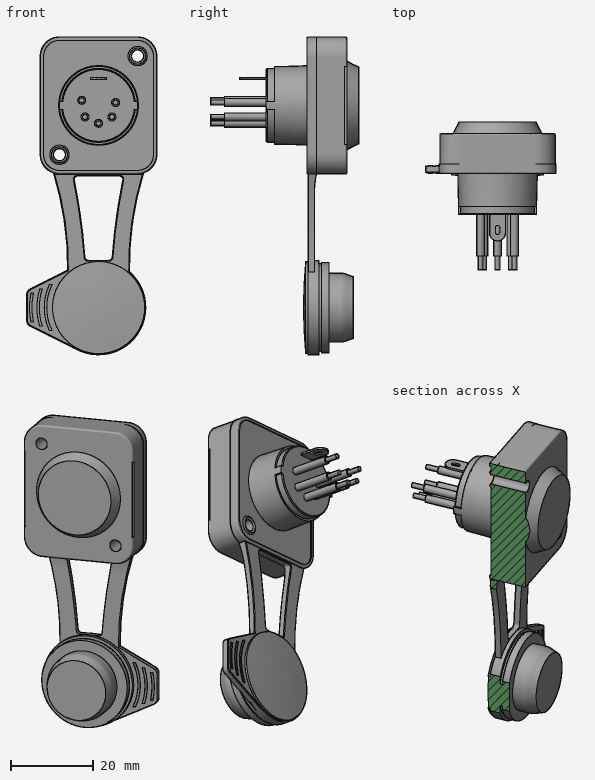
import cadquery as cq
import math


OVERALL_WIDTH = 31.7
OVERALL_DEPTH = 36.0
OVERALL_HEIGHT = 77.3

FLANGE_HEIGHT = 33.3
FLANGE_WIDTH = 28.1
LIP_WIDTH = 28.4
FLANGE_DEPTH = 9.75
LIP_DEPTH = 2.35
CORNER_RADIUS = 4.7
FRONT_EDGE_RADIUS = 0.45
RIM_FILLET = 0.35
PANEL_INSET = 0.85
PANEL_DEPTH = 0.3
SIDE_NOTCH_LENGTH = 18.9
SIDE_NOTCH_DEPTH = 0.3
SIDE_NOTCH_WIDTH = 0.6

HOLE_OFFSET_X = 9.5
HOLE_OFFSET_Z = 12.0
HOLE_RADIUS = 1.45
COLLAR_BASE_RADIUS = 2.35
COLLAR_CREST_RADIUS = 1.95

BEZEL_BASE_RADIUS = 10.8
BEZEL_FRONT_RADIUS = 9.35
BEZEL_FRONT_Y = 12.6
BARREL_ROOT_RADIUS = 9.7
BARREL_END_RADIUS = 9.5
BARREL_SHOULDER_Y = -7.95
BARREL_END_Y = -9.9
BARREL_NECK_RADIUS = 9.0
BARREL_END_CHAMFER = 0.25
KEY_WIDTH = 1.9

WIRE_POSITIONS = [(-4.1, 1.25), (4.15, 0.7), (-3.3, -2.8), (3.25, -2.8), (0.0, -4.35)]
WIRE_JACKET_RADIUS = 0.97
WIRE_CORE_RADIUS = 0.62
WIRE_JACKET_END_Y = -20.05
WIRE_CORE_END_Y = BEZEL_FRONT_Y - OVERALL_DEPTH
TAB_WIDTH = 3.9
TAB_THICKNESS = 0.5
TAB_CENTER_Z = 6.53
TAB_END_Y = -16.35
TAB_SLOT_WIDTH = 1.1
TAB_SLOT_LENGTH = 2.2
TAB_SLOT_CENTER_Y = -13.7

CAP_RADIUS = 11.5
CAP_CENTER_Z = FLANGE_HEIGHT / 2 - OVERALL_HEIGHT + CAP_RADIUS
CAP_DISC_FRONT_Y = 2.9
CAP_DISC_REAR_Y = 0.2
CAP_STEP_RADIUS = 11.2
CAP_STEP_Y = -0.35
CAP_DOME_RADIUS = 10.8
CAP_DOME_Y = -0.85
CAP_GROOVE_RADIUS = 10.7
CAP_BEAD_RADIUS = 11.0
CAP_BEAD_REAR_Y = 3.5
CAP_BEAD_FRONT_Y = 5.4
PLUG_RADIUS = 8.4
PLUG_BEND_Y = 8.6
PLUG_TAPER_Y = 9.3
PLUG_TAPER_RADIUS = 8.25
PLUG_FRONT_Y = 11.3
PLUG_FRONT_RADIUS = 7.55

STRAP_REAR_Y = 0.2
STRAP_FRONT_Y = 1.85
STRAP_EDGE_CHAMFER = 0.2
STRAP_TAPER_END_Z = -21.0
STRAP_TOP_Z = -FLANGE_HEIGHT / 2
STRAP_TOP_HALF_WIDTH = 10.9
STRAP_MID_HALF_WIDTH = 8.7
STRAP_MID_Z = -25.8
STRAP_BOTTOM_HALF_WIDTH = 7.55
STRAP_BOTTOM_Z = -41.0
WINDOW_TOP_Z = -17.2
WINDOW_TOP_HALF_WIDTH = 6.1
WINDOW_MID_HALF_WIDTH = 4.4
WINDOW_MID_Z = -26.8
WINDOW_BOTTOM_HALF_WIDTH = 3.25
WINDOW_CORNER_RADIUS = 0.8
GRIP_END_X = LIP_WIDTH / 2 - OVERALL_WIDTH
GRIP_SIDE_ANGLE = math.radians(26.6)
GRIP_CORNER_RADIUS = 1.6
RIDGE_RADII_AND_HALF_LENGTHS = [(12.9, 5.6), (14.7, 4.5), (16.5, 3.5)]
RIDGE_WIDTH = 0.6
RIDGE_HEIGHT = 0.15


def xz_plane(y, z=0.0):
    """Plane at the given Y with local x = X and local y = Z; it extrudes toward -Y."""
    return cq.Workplane("XZ", origin=(0, y, z))


def revolve_about_y(profile, center_x=0.0, center_z=0.0):
    """Revolve (radius, y) points about a line parallel to Y."""
    solid = cq.Workplane("XY").polyline(profile).close().revolve(360, (0, 0, 0), (0, 1, 0))
    return solid.translate((center_x, 0, center_z))


def rounded_block(width, height, front_y, rear_y, corner_radius):
    block = xz_plane(front_y).rect(width, height).extrude(front_y - rear_y)
    return block.edges("|Y").fillet(corner_radius)


def make_flange():
    body = rounded_block(FLANGE_WIDTH, FLANGE_HEIGHT, FLANGE_DEPTH, LIP_DEPTH / 2, CORNER_RADIUS)
    body = body.faces(">Y").edges().fillet(FRONT_EDGE_RADIUS)
    lip = rounded_block(LIP_WIDTH, FLANGE_HEIGHT, LIP_DEPTH, 0, CORNER_RADIUS)
    lip = lip.faces("<Y").edges().fillet(RIM_FILLET)
    panel_recess = rounded_block(
        LIP_WIDTH - 2 * PANEL_INSET,
        FLANGE_HEIGHT - 2 * PANEL_INSET,
        PANEL_DEPTH,
        0,
        CORNER_RADIUS - PANEL_INSET,
    )
    flange = body.union(lip).cut(panel_recess)
    for side in (-1, 1):
        notch = cq.Workplane("XY").box(2 * SIDE_NOTCH_DEPTH, 2 * SIDE_NOTCH_WIDTH, SIDE_NOTCH_LENGTH)
        flange = flange.cut(notch.translate((side * FLANGE_WIDTH / 2, FLANGE_DEPTH, 0)))
    return flange


def add_mounting_holes(body):
    collar_profile = [
        (0, LIP_DEPTH),
        (COLLAR_BASE_RADIUS, LIP_DEPTH),
        (COLLAR_BASE_RADIUS, PANEL_DEPTH),
        (COLLAR_CREST_RADIUS, 0),
        (HOLE_RADIUS, PANEL_DEPTH),
        (0, PANEL_DEPTH),
    ]
    for side in (-1, 1):
        x = side * HOLE_OFFSET_X
        z = side * HOLE_OFFSET_Z
        hole = xz_plane(FLANGE_DEPTH).center(x, z).circle(HOLE_RADIUS).extrude(FLANGE_DEPTH)
        body = body.union(revolve_about_y(collar_profile, x, z)).cut(hole)
    return body


def make_bezel_and_barrel():
    profile = [
        (0, BEZEL_FRONT_Y),
        (BEZEL_FRONT_RADIUS, BEZEL_FRONT_Y),
        (BEZEL_BASE_RADIUS, FLANGE_DEPTH),
        (BARREL_ROOT_RADIUS, FLANGE_DEPTH),
        (BARREL_ROOT_RADIUS, 0),
        (BARREL_END_RADIUS, BARREL_SHOULDER_Y),
        (BARREL_NECK_RADIUS, BARREL_SHOULDER_Y),
        (BARREL_NECK_RADIUS, BARREL_END_Y + BARREL_END_CHAMFER),
        (BARREL_NECK_RADIUS - BARREL_END_CHAMFER, BARREL_END_Y),
        (0, BARREL_END_Y),
    ]
    neck_length = BARREL_SHOULDER_Y - BARREL_END_Y
    keys = xz_plane(BARREL_SHOULDER_Y).circle(BARREL_END_RADIUS).extrude(neck_length)
    key_band = xz_plane(BARREL_SHOULDER_Y).rect(2 * BARREL_ROOT_RADIUS, KEY_WIDTH).extrude(neck_length)
    return revolve_about_y(profile).union(keys.intersect(key_band))


def make_wires():
    jackets = xz_plane(BARREL_END_Y).pushPoints(WIRE_POSITIONS).circle(WIRE_JACKET_RADIUS)
    jackets = jackets.extrude(BARREL_END_Y - WIRE_JACKET_END_Y)
    cores = xz_plane(WIRE_JACKET_END_Y).pushPoints(WIRE_POSITIONS).circle(WIRE_CORE_RADIUS)
    cores = cores.extrude(WIRE_JACKET_END_Y - WIRE_CORE_END_Y)
    return jackets.union(cores)


def make_solder_tab():
    half_width = TAB_WIDTH / 2
    tab = (
        cq.Workplane("XY")
        .moveTo(-half_width, BARREL_END_Y)
        .lineTo(-half_width, TAB_END_Y + half_width)
        .threePointArc((0, TAB_END_Y), (half_width, TAB_END_Y + half_width))
        .lineTo(half_width, BARREL_END_Y)
        .close()
        .extrude(TAB_THICKNESS)
    )
    slot = (
        cq.Workplane("XY")
        .center(0, TAB_SLOT_CENTER_Y)
        .slot2D(TAB_SLOT_LENGTH, TAB_SLOT_WIDTH, 90)
        .extrude(TAB_THICKNESS)
    )
    return tab.cut(slot).translate((0, 0, TAB_CENTER_Z - TAB_THICKNESS / 2))


def tapering_outline(top_half, top_z, mid_half, mid_z, bottom_half, bottom_z):
    """Closed outline, symmetric in X, whose two sides are arcs through top, middle and bottom."""
    return (
        xz_plane(LIP_DEPTH)
        .moveTo(-top_half, top_z)
        .threePointArc((-mid_half, mid_z), (-bottom_half, bottom_z))
        .lineTo(bottom_half, bottom_z)
        .threePointArc((mid_half, mid_z), (top_half, top_z))
        .close()
        .extrude(LIP_DEPTH - STRAP_REAR_Y)
    )


def make_strap():
    outline = tapering_outline(
        STRAP_TOP_HALF_WIDTH, STRAP_TOP_Z, STRAP_MID_HALF_WIDTH, STRAP_MID_Z,
        STRAP_BOTTOM_HALF_WIDTH, STRAP_BOTTOM_Z,
    )
    window = tapering_outline(
        WINDOW_TOP_HALF_WIDTH, WINDOW_TOP_Z, WINDOW_MID_HALF_WIDTH, WINDOW_MID_Z,
        WINDOW_BOTTOM_HALF_WIDTH, CAP_CENTER_Z + CAP_RADIUS,
    )
    window = window.edges("|Y").fillet(WINDOW_CORNER_RADIUS)
    thickness = (
        cq.Workplane("YZ", origin=(-STRAP_TOP_HALF_WIDTH, 0, 0))
        .moveTo(STRAP_REAR_Y, STRAP_TOP_Z)
        .lineTo(STRAP_REAR_Y, STRAP_BOTTOM_Z)
        .lineTo(STRAP_FRONT_Y, STRAP_BOTTOM_Z)
        .lineTo(STRAP_FRONT_Y, STRAP_TAPER_END_Z)
        .tangentArcPoint((LIP_DEPTH, STRAP_TOP_Z), relative=False)
        .close()
        .extrude(2 * STRAP_TOP_HALF_WIDTH)
    )
    strap = outline.cut(window).intersect(thickness)
    return strap.faces("<Y").edges().chamfer(STRAP_EDGE_CHAMFER)


def make_ridge(radius, half_length):
    """Arc-shaped bar concentric with the cap that stands proud of both grip faces."""
    front_y = STRAP_FRONT_Y + RIDGE_HEIGHT
    depth = front_y - STRAP_REAR_Y + RIDGE_HEIGHT
    ring = xz_plane(front_y, CAP_CENTER_Z).circle(radius + RIDGE_WIDTH / 2)
    ring = ring.circle(radius - RIDGE_WIDTH / 2).extrude(depth)
    band = xz_plane(front_y, CAP_CENTER_Z).center(-radius, 0)
    band = band.rect(radius, 2 * half_length).extrude(depth)
    return ring.intersect(band)


def make_grip():
    tangent_x = -CAP_RADIUS * math.sin(GRIP_SIDE_ANGLE)
    tangent_z = CAP_RADIUS * math.cos(GRIP_SIDE_ANGLE)
    end_half_height = tangent_z - (tangent_x - GRIP_END_X) * math.tan(GRIP_SIDE_ANGLE)
    grip = (
        xz_plane(STRAP_FRONT_Y, CAP_CENTER_Z)
        .moveTo(tangent_x, tangent_z)
        .lineTo(GRIP_END_X, end_half_height)
        .lineTo(GRIP_END_X, -end_half_height)
        .lineTo(tangent_x, -tangent_z)
        .close()
        .extrude(STRAP_FRONT_Y - STRAP_REAR_Y)
    )
    grip = grip.edges("|Y and <X").fillet(GRIP_CORNER_RADIUS)
    grip = grip.faces("<Y").edges().chamfer(STRAP_EDGE_CHAMFER)
    for radius, half_length in RIDGE_RADII_AND_HALF_LENGTHS:
        grip = grip.union(make_ridge(radius, half_length))
    return grip


def make_cap_disc_and_plug():
    dome_rise = CAP_STEP_Y - CAP_DOME_Y
    sphere_radius = (CAP_DOME_RADIUS**2 + dome_rise**2) / (2 * dome_rise)
    middle_radius = CAP_DOME_RADIUS / 2
    middle_drop = sphere_radius - math.sqrt(sphere_radius**2 - middle_radius**2)
    dome_middle = (middle_radius, CAP_DOME_Y + middle_drop)
    profile = (
        cq.Workplane("XY")
        .moveTo(0, PLUG_FRONT_Y)
        .lineTo(PLUG_FRONT_RADIUS, PLUG_FRONT_Y)
        .lineTo(PLUG_TAPER_RADIUS, PLUG_TAPER_Y)
        .lineTo(PLUG_RADIUS, PLUG_BEND_Y)
        .lineTo(PLUG_RADIUS, CAP_BEAD_FRONT_Y)
        .lineTo(CAP_BEAD_RADIUS, CAP_BEAD_FRONT_Y)
        .lineTo(CAP_BEAD_RADIUS, CAP_BEAD_REAR_Y)
        .lineTo(CAP_GROOVE_RADIUS, CAP_BEAD_REAR_Y)
        .lineTo(CAP_GROOVE_RADIUS, CAP_DISC_FRONT_Y)
        .lineTo(CAP_RADIUS, CAP_DISC_FRONT_Y)
        .lineTo(CAP_RADIUS, CAP_DISC_REAR_Y)
        .lineTo(CAP_STEP_RADIUS, CAP_DISC_REAR_Y)
        .lineTo(CAP_STEP_RADIUS, CAP_STEP_Y)
        .lineTo(CAP_DOME_RADIUS, CAP_STEP_Y)
        .threePointArc(dome_middle, (0, CAP_DOME_Y))
        .close()
    )
    return profile.revolve(360, (0, 0, 0), (0, 1, 0)).translate((0, 0, CAP_CENTER_Z))


connector = add_mounting_holes(make_flange().union(make_bezel_and_barrel()))
connector = connector.union(make_wires()).union(make_solder_tab())
cap = make_cap_disc_and_plug().union(make_strap()).union(make_grip())
result = connector.union(cap)